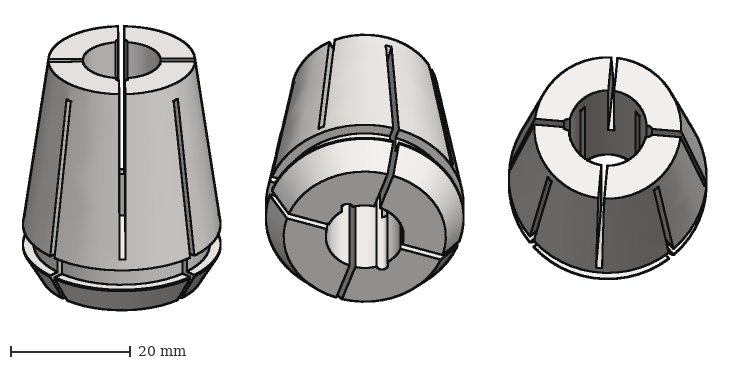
import cadquery as cq
import math

height = 40.0
max_radius = 16.5
top_radius = 12.25
base_radius = 13.5
groove_radius = 14.7
taper_bottom = 9.1
groove_bottom = 5.45
rim_bottom = 5.15
bore_radius = 6.5

slit_width = 1.0
slit_count = 4
saw_radius = 20.0
saw_center_radius = 19.35
lower_saw_center_z = 18.3
upper_saw_center_z = 30.75

relief_radius = 1.0
relief_angles = (135, 315)
cut_margin = 4.0


def collet_body():
    """Revolve the outer profile and bore it through."""
    profile = (
        cq.Workplane("XZ")
        .moveTo(0, 0)
        .lineTo(base_radius, 0)
        .lineTo(max_radius, rim_bottom)
        .lineTo(max_radius, groove_bottom)
        .lineTo(groove_radius, groove_bottom)
        .lineTo(groove_radius, taper_bottom)
        .lineTo(max_radius, taper_bottom)
        .lineTo(top_radius, height)
        .lineTo(0, height)
        .close()
    )
    body = profile.revolve(360, (0, 0, 0), (0, 1, 0))
    bore = cq.Workplane("XY").circle(bore_radius).extrude(height)
    return body.cut(bore)


def slit(saw_center_z, direction, open_z, angle):
    """Slit with an arc end on the direction side (+1 up, -1 down), open at open_z."""
    inner_radius = bore_radius - slit_width
    sweep = math.asin((saw_center_radius - inner_radius) / saw_radius)

    def arc_point(tilt):
        radius = saw_center_radius - saw_radius * math.sin(tilt)
        return radius, saw_center_z + direction * saw_radius * math.cos(tilt)

    outline = (
        cq.Workplane("XZ")
        .moveTo(inner_radius, open_z)
        .lineTo(*arc_point(sweep))
        .threePointArc(arc_point(sweep / 2), arc_point(0))
        .lineTo(saw_center_radius, open_z)
        .close()
    )
    blade = outline.extrude(slit_width / 2, both=True)
    return blade.rotate((0, 0, 0), (0, 0, 1), angle)


def relief_hole(angle):
    """Full-height hole centred on the bore wall, at the root of an upper slit."""
    hole = cq.Workplane("XY").center(bore_radius, 0).circle(relief_radius).extrude(height)
    return hole.rotate((0, 0, 0), (0, 0, 1), angle)


result = collet_body()
slit_step = 360 / slit_count
for index in range(slit_count):
    lower_angle = index * slit_step
    upper_angle = lower_angle + slit_step / 2
    result = result.cut(slit(lower_saw_center_z, 1, -cut_margin, lower_angle))
    result = result.cut(slit(upper_saw_center_z, -1, height + cut_margin, upper_angle))
for angle in relief_angles:
    result = result.cut(relief_hole(angle))